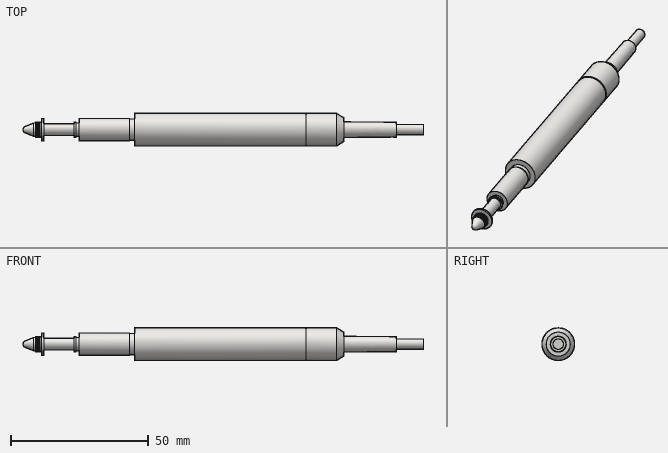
import cadquery as cq

NOSE_END = 0.7
CONE_END = 4.0
FRONT_RING_START = 4.5
RING_COUNT = 3
RING_WIDTH = 0.5
RING_PITCH = 0.8
FLANGE_START = 6.9
FLANGE_END = 7.6
SEAL_START = 18.7
SEAL_RING_END = 19.2
SLEEVE_START = 20.4
SLEEVE_END = 38.8
BARREL_START = 40.7
BARREL_END = 103.0
JOINT_GROOVE_WIDTH = 0.1
CHAMFER_START = 114.2
CAP_END = 116.8
BOOT_END = 135.9
WIRE_END = 145.8

NOSE_RADIUS = 1.2
TIP_NECK_RADIUS = 2.5
RING_RADIUS = 2.8
FLANGE_RADIUS = 4.1
SHAFT_RADIUS = 2.2
SEAL_RADIUS = 2.5
SLEEVE_RADIUS = 4.1
RELIEF_RADIUS = 4.0
BARREL_RADIUS = 6.0
JOINT_GROOVE_RADIUS = 5.7
CAP_END_RADIUS = 4.4
BOOT_ROOT_RADIUS = 2.9
BOOT_END_RADIUS = 2.8
WIRE_RADIUS = 1.9

SHAFT_END = BARREL_START


def section(x_start, x_end, start_radius, end_radius=None):
    """Cylinder along X, or a truncated cone when an end radius is given."""
    if end_radius is None:
        end_radius = start_radius
    return (
        cq.Workplane("XZ")
        .moveTo(x_start, 0)
        .lineTo(x_start, start_radius)
        .lineTo(x_end, end_radius)
        .lineTo(x_end, 0)
        .close()
        .revolve(360, (0, 0, 0), (1, 0, 0))
    )


def domed_nose():
    """Shallow spherical cap that closes the narrow end of the tip cone."""
    sphere_radius = (NOSE_RADIUS**2 + NOSE_END**2) / (2 * NOSE_END)
    sphere = cq.Workplane("XY").sphere(sphere_radius).translate((sphere_radius, 0, 0))
    return sphere.intersect(section(0, NOSE_END, NOSE_RADIUS))


def make_plunger():
    """Contact tip with its rings and flange, on the sliding shaft."""
    cone = section(NOSE_END, CONE_END, NOSE_RADIUS, TIP_NECK_RADIUS)
    tip_neck = section(CONE_END, FLANGE_START, TIP_NECK_RADIUS)
    plunger = domed_nose().union(cone).union(tip_neck)
    for index in range(RING_COUNT):
        ring_start = FRONT_RING_START + index * RING_PITCH
        plunger = plunger.union(section(ring_start, ring_start + RING_WIDTH, RING_RADIUS))
    flange = section(FLANGE_START, FLANGE_END, FLANGE_RADIUS)
    shaft = section(FLANGE_END, SHAFT_END, SHAFT_RADIUS)
    return plunger.union(flange).union(shaft)


def make_housing():
    """Stepped sleeve and barrel with a blind bore for the shaft."""
    seal_ring = section(SEAL_START, SEAL_RING_END, RING_RADIUS)
    seal_neck = section(SEAL_RING_END, SLEEVE_START, SEAL_RADIUS)
    sleeve = section(SLEEVE_START, SLEEVE_END, SLEEVE_RADIUS)
    relief = section(SLEEVE_END, BARREL_START, RELIEF_RADIUS)
    barrel = section(BARREL_START, BARREL_END, BARREL_RADIUS)
    housing = seal_ring.union(seal_neck).union(sleeve).union(relief).union(barrel)
    shaft_bore = section(SEAL_START, SHAFT_END, SHAFT_RADIUS)
    return housing.cut(shaft_bore)


def make_end_cap():
    """Chamfered rear cap with its tapered boot and wire."""
    groove_end = BARREL_END + JOINT_GROOVE_WIDTH
    joint_neck = section(BARREL_END, groove_end, JOINT_GROOVE_RADIUS)
    cap = section(groove_end, CHAMFER_START, BARREL_RADIUS)
    chamfer = section(CHAMFER_START, CAP_END, BARREL_RADIUS, CAP_END_RADIUS)
    boot = section(CAP_END, BOOT_END, BOOT_ROOT_RADIUS, BOOT_END_RADIUS)
    wire = section(BOOT_END, WIRE_END, WIRE_RADIUS)
    return joint_neck.union(cap).union(chamfer).union(boot).union(wire)


plunger = make_plunger()
housing = make_housing()
end_cap = make_end_cap()

result = cq.Compound.makeCompound([plunger.val(), housing.val(), end_cap.val()])